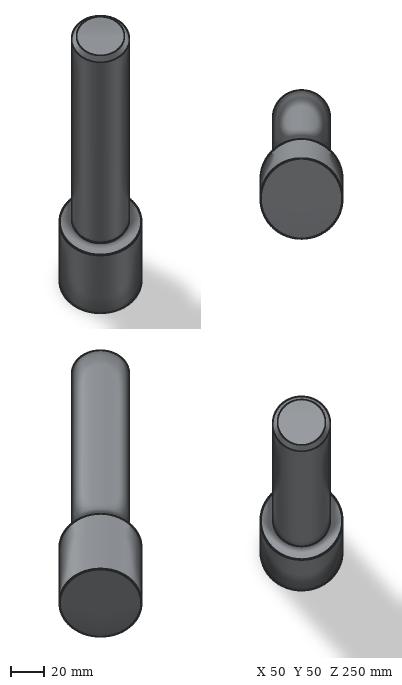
import cadquery as cq

total_length = 250.0
head_diameter = 50.0
head_height = 60.0
head_edge_chamfer = 0.5
shank_diameter = 35.0
tip_chamfer = 3.0
neck_diameter = 32.5
neck_height = 3.0

shank_start = head_height + neck_height
shank_length = total_length - shank_start


def make_head():
    """Thick cylindrical head with small chamfers on both rims."""
    head = cq.Workplane("XY").circle(head_diameter / 2).extrude(head_height)
    return head.faces("<Z or >Z").edges().chamfer(head_edge_chamfer)


def make_neck():
    """Relief groove between the head and the shank."""
    neck = cq.Workplane("XY").workplane(offset=head_height)
    return neck.circle(neck_diameter / 2).extrude(neck_height)


def make_shank():
    """Plain shank with a chamfered tip."""
    shank = cq.Workplane("XY").workplane(offset=shank_start)
    shank = shank.circle(shank_diameter / 2).extrude(shank_length)
    return shank.faces(">Z").edges().chamfer(tip_chamfer)


result = make_head().union(make_neck()).union(make_shank())